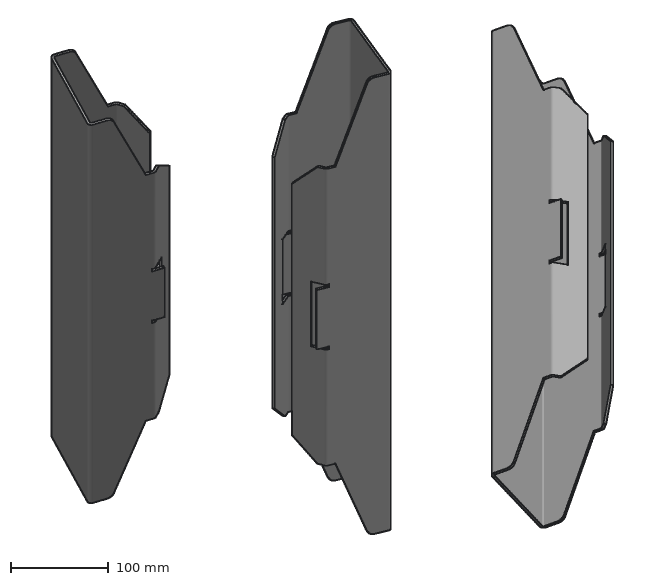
import cadquery as cq
import math

length = 574.0
width = 105.5
depth = 100.5
sheet = 3.0
inner_radius = 1.5
outer_radius = inner_radius + sheet

wall_end_depth = 26.0
taper_root_depth = 63.0
taper_height = 100.5
end_corner_radius = 8.5
lip_half_length = length / 2 - taper_height

lip_angle = 45.0
lip_bend_depth = 72.0
lip_corner_depth = 80.5
lip_corner_height = 28.5

tab_half_length = 37.5
tab_depth = 84.0
slot_width = 3.5
slot_root_depth = 70.0
window_depth = 85.5
window_half_length = tab_half_length + slot_width

wall_x = -width / 2
angle = math.radians(lip_angle)
lip_start_x = wall_x + outer_radius * (1 - math.cos(angle))
lip_start_depth = lip_bend_depth + outer_radius * math.sin(angle)


def lip_distance(y):
    """Distance along the outside lip face from the bend to depth y."""
    return (y - lip_start_depth) / math.cos(angle)


def extrude_along_length(sketch, half_length):
    return sketch.extrude(half_length, both=True)


def make_channel():
    """U channel with rounded bends, its walls trimmed to a tapered outline."""
    outer = cq.Workplane("XY").center(0, lip_bend_depth / 2).rect(width, lip_bend_depth)
    outer = extrude_along_length(outer, length / 2)
    outer = outer.edges("|Z and <Y").fillet(outer_radius)
    cavity = cq.Workplane("XY").center(0, sheet + lip_bend_depth / 2)
    cavity = cavity.rect(width - 2 * sheet, lip_bend_depth)
    cavity = extrude_along_length(cavity, length / 2)
    cavity = cavity.edges("|Z and <Y").fillet(inner_radius)
    outline = (
        cq.Workplane("YZ")
        .polyline([
            (0, -length / 2),
            (wall_end_depth, -length / 2),
            (taper_root_depth, -lip_half_length),
            (lip_bend_depth, -lip_half_length),
            (lip_bend_depth, lip_half_length),
            (taper_root_depth, lip_half_length),
            (wall_end_depth, length / 2),
            (0, length / 2),
        ])
        .close()
        .extrude(width / 2, both=True)
    )
    end_corners = cq.selectors.BoxSelector(
        (-width, wall_end_depth - sheet, -length), (width, wall_end_depth + sheet, length)
    )
    outline = outline.edges("|X").edges(end_corners).fillet(end_corner_radius)
    return outer.cut(cavity).intersect(outline)


def make_lip():
    """Bend and slanted lip on the left wall, before the window is cut."""
    bend_center_x = wall_x + outer_radius

    def bend_point(radius, turn):
        return (bend_center_x - radius * math.cos(turn), lip_bend_depth + radius * math.sin(turn))

    def along_lip(point, distance):
        return (point[0] + distance * math.sin(angle), point[1] + distance * math.cos(angle))

    lip_length = lip_distance(depth)
    outer_end = bend_point(outer_radius, angle)
    inner_end = bend_point(inner_radius, angle)
    section = (
        cq.Workplane("XY")
        .moveTo(*bend_point(outer_radius, 0))
        .threePointArc(bend_point(outer_radius, angle / 2), outer_end)
        .lineTo(*along_lip(outer_end, lip_length))
        .lineTo(*along_lip(inner_end, lip_length))
        .lineTo(*inner_end)
        .threePointArc(bend_point(inner_radius, angle / 2), bend_point(inner_radius, 0))
        .close()
    )
    lip = extrude_along_length(section, lip_half_length)
    lip_plane = cq.Plane(
        origin=(lip_start_x, lip_start_depth, 0),
        xDir=(math.sin(angle), math.cos(angle), 0),
        normal=(math.cos(angle), -math.sin(angle), 0),
    )
    corner_start = lip_distance(lip_corner_depth)
    for side in (-1, 1):
        corner = (
            cq.Workplane(lip_plane)
            .polyline([
                (corner_start, side * lip_half_length),
                (lip_length, side * lip_half_length),
                (lip_length, side * (lip_half_length - lip_corner_height)),
            ])
            .close()
            .extrude(sheet)
        )
        lip = lip.cut(corner)
    return lip


def make_window():
    """Cutter for the opening around the tab, square to the lip where it ends."""
    reach = 2 * sheet
    edge_x = lip_start_x + lip_distance(window_depth) * math.sin(angle)
    sketch = cq.Workplane("XY").polyline([
        (wall_x - reach, slot_root_depth),
        (wall_x + 2 * reach, slot_root_depth),
        (edge_x + reach * math.cos(angle), window_depth - reach * math.sin(angle)),
        (edge_x, window_depth),
        (wall_x - reach, window_depth),
    ]).close()
    return extrude_along_length(sketch, window_half_length)


def make_tab():
    sketch = cq.Workplane("XY").moveTo(wall_x, slot_root_depth)
    sketch = sketch.lineTo(wall_x + sheet, slot_root_depth).lineTo(wall_x + sheet, tab_depth)
    return extrude_along_length(sketch.lineTo(wall_x, tab_depth).close(), tab_half_length)


left_lip = make_lip()
left_window = make_window()
left_tab = make_tab()
result = make_channel().union(left_lip).union(left_lip.mirror("YZ"))
result = result.cut(left_window).cut(left_window.mirror("YZ"))
result = result.union(left_tab).union(left_tab.mirror("YZ"))